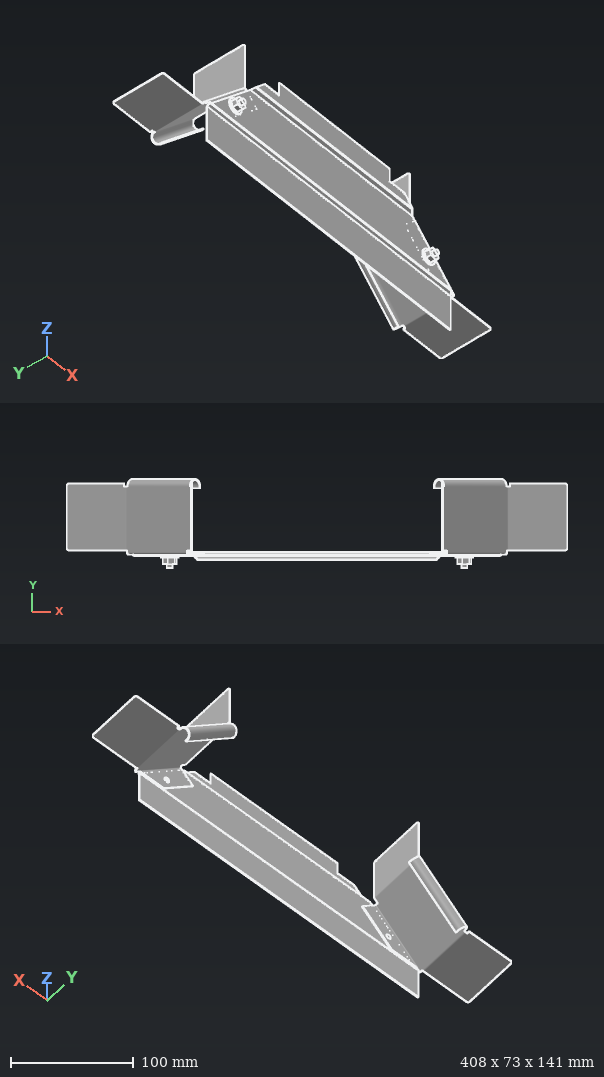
import cadquery as cq
import math


SHEET = 1.0
LENGTH = 408.0

PLATE_FRONT = -26.5
PLATE_BACK = PLATE_FRONT + SHEET
SKIRT_SETBACK = 2.65
TONGUE_ADVANCE = 3.45
PLATE_BOTTOM = -38.5
HEIGHT = 141.0
PLATE_TOP = 78.7
SKIRT_JOG = (-1.2, 2.5)
TONGUE_JOG = (50.5, 54.2)
PLATE_HALF_WIDTH = 151.0
PLATE_SLANT_START = 0.5
SHOULDER_TOP = 65.0
TONGUE_HALF_WIDTH = 68.5

WING_FRONT = -22.0
WING_BACK = 32.5
WING_CORNER = 2.0
WING_BEND_RADIUS = 1.2
RELIEF_RUNOUT = 1.5
TAB_TOP = PLATE_BOTTOM + HEIGHT
TAB_OUTER = -102.8

SLOPE_FOOT = -155.5
BRACKET_BACK = 36.5
CURL_RADIUS = 6.0
CURL_CENTRE = BRACKET_BACK - CURL_RADIUS
CURL_RETURN_EDGE = 28.5
CURL_SETBACK = 1.2
FOLD_RADIUS = 2.0
FOLD_FOOT_SETBACK = 1.0
FOLD_TOP_SETBACK = 5.0
LIP_DEPTH = 20.5
LIP_BOTTOM = 4.0

FASTENER_X = 120.0
FASTENER_Z = 18.8
STUD_RADIUS = 2.5
STUD_TIP = -36.5
NUT_FACE = -33.0
NUT_ACROSS_FLATS = 10.0
HEXAGON_SIDES = 6
NUT_TURN = 47.0
WASHER_RADIUS = 7.5
WASHER_THICKNESS = 1.2

SLOPE_ANGLE = math.radians(45)
DIAGONAL = math.sin(SLOPE_ANGLE)
SLOPE_TOP = SHEET + TAB_OUTER - SLOPE_FOOT
SLOPE_LENGTH = (TAB_OUTER - SLOPE_FOOT) / DIAGONAL
LIP_BACK = PLATE_BACK + SHEET


def cylinder_y(x, z, radius, y_start, y_end):
    """Round bar parallel to Y."""
    plane = cq.Plane(origin=(x, y_start, z), xDir=(1, 0, 0), normal=(0, 1, 0))
    return cq.Workplane(plane).circle(radius).extrude(y_end - y_start)


def stud_hole(x):
    """Cutter for the stud through the plate and the lip behind it."""
    return cylinder_y(x, FASTENER_Z, STUD_RADIUS, PLATE_FRONT, LIP_BACK)


def make_plate():
    """Double-jogged sheet, trimmed to its stepped trapezoidal outline."""
    front_edge = [
        (PLATE_FRONT + SKIRT_SETBACK, PLATE_BOTTOM),
        (PLATE_FRONT + SKIRT_SETBACK, SKIRT_JOG[0]),
        (PLATE_FRONT, SKIRT_JOG[1]),
        (PLATE_FRONT, TONGUE_JOG[0]),
        (PLATE_FRONT - TONGUE_ADVANCE, TONGUE_JOG[1]),
        (PLATE_FRONT - TONGUE_ADVANCE, PLATE_TOP),
    ]
    back_edge = [(y + SHEET, z) for y, z in reversed(front_edge)]
    sheet = (
        cq.Workplane("YZ").polyline(front_edge + back_edge).close()
        .extrude(PLATE_HALF_WIDTH, both=True)
    )
    shoulder_half_width = PLATE_HALF_WIDTH - (SHOULDER_TOP - PLATE_SLANT_START)
    right_side = [
        (PLATE_HALF_WIDTH, PLATE_BOTTOM),
        (PLATE_HALF_WIDTH, PLATE_SLANT_START),
        (shoulder_half_width, SHOULDER_TOP),
        (TONGUE_HALF_WIDTH, SHOULDER_TOP),
        (TONGUE_HALF_WIDTH, PLATE_TOP),
    ]
    left_side = [(-x, z) for x, z in reversed(right_side)]
    outline = cq.Workplane("XZ").polyline(right_side + left_side).close().extrude(LENGTH, both=True)
    plate = sheet.intersect(outline)
    for side in (-1, 1):
        plate = plate.cut(stud_hole(side * FASTENER_X))
    return plate


def make_wing():
    """Flange, slope and tab bent from one strip, with the rear corner of the slope relieved."""
    miter = SHEET * math.tan(SLOPE_ANGLE / 2)
    foot = (SLOPE_FOOT, SHEET)
    top = (TAB_OUTER, SLOPE_TOP)
    under_foot = (SLOPE_FOOT + miter, 0)
    under_top = (TAB_OUTER + SHEET, SLOPE_TOP - miter)
    wing = (
        cq.Workplane("XZ", origin=(0, WING_BACK, 0))
        .moveTo(-LENGTH / 2, SHEET)
        .lineTo(*foot)
        .lineTo(*top)
        .lineTo(TAB_OUTER, TAB_TOP)
        .lineTo(TAB_OUTER + SHEET, TAB_TOP)
        .lineTo(*under_top)
        .lineTo(*under_foot)
        .lineTo(-LENGTH / 2, 0)
        .close()
        .extrude(WING_BACK - WING_FRONT)
    )
    bends = [
        (foot, WING_BEND_RADIUS),
        (top, WING_BEND_RADIUS),
        (under_foot, WING_BEND_RADIUS + SHEET),
        (under_top, WING_BEND_RADIUS + SHEET),
    ]
    middle_y = (WING_BACK + WING_FRONT) / 2
    for (x, z), radius in bends:
        wing = wing.edges(cq.NearestToPointSelector((x, middle_y, z))).fillet(radius)
    wing = wing.edges("|Z and <X").fillet(WING_CORNER)
    wing = wing.edges("|X and >Z").fillet(WING_CORNER)
    relief_length = TAB_OUTER + SHEET - SLOPE_FOOT + RELIEF_RUNOUT
    relief = (
        cq.Workplane("XY")
        .box(relief_length, WING_BACK - CURL_CENTRE, SLOPE_TOP + RELIEF_RUNOUT, centered=False)
        .translate((SLOPE_FOOT - RELIEF_RUNOUT, CURL_CENTRE, 0))
    )
    return wing.cut(relief)


def slope_section(setback):
    """Plane square to the slope near its foot: local x is Y, local -y is depth below the slope."""
    origin = (SLOPE_FOOT + setback * DIAGONAL, 0, SHEET + setback * DIAGONAL)
    return cq.Workplane(cq.Plane(origin=origin, xDir=(0, 1, 0), normal=(DIAGONAL, 0, DIAGONAL)))


def make_curl():
    """Rear edge of the slope rolled under in a half circle, with a short straight return."""
    return (
        slope_section(CURL_SETBACK)
        .moveTo(CURL_RETURN_EDGE, 0)
        .lineTo(CURL_CENTRE, 0)
        .threePointArc((BRACKET_BACK, -CURL_RADIUS), (CURL_CENTRE, -2 * CURL_RADIUS))
        .lineTo(CURL_RETURN_EDGE, -2 * CURL_RADIUS)
        .lineTo(CURL_RETURN_EDGE, SHEET - 2 * CURL_RADIUS)
        .lineTo(CURL_CENTRE, SHEET - 2 * CURL_RADIUS)
        .threePointArc((BRACKET_BACK - SHEET, -CURL_RADIUS), (CURL_CENTRE, -SHEET))
        .lineTo(CURL_RETURN_EDGE, -SHEET)
        .close()
        .extrude(SLOPE_LENGTH - 2 * CURL_SETBACK)
    )


def make_fold():
    """Front edge of the slope, with the quarter-round bend that leads down to the lip."""
    flat_front = PLATE_BACK + FOLD_RADIUS
    return (
        slope_section(FOLD_FOOT_SETBACK)
        .moveTo(WING_FRONT, 0)
        .lineTo(flat_front, 0)
        .radiusArc((PLATE_BACK, -FOLD_RADIUS), -FOLD_RADIUS)
        .lineTo(LIP_BACK, -FOLD_RADIUS)
        .radiusArc((flat_front, -SHEET), FOLD_RADIUS - SHEET)
        .lineTo(WING_FRONT, -SHEET)
        .close()
        .extrude(SLOPE_LENGTH - FOLD_FOOT_SETBACK - FOLD_TOP_SETBACK)
    )


def make_lip():
    """Front lip hanging from the fold, cut level above the lower jog of the plate."""
    lip = (
        slope_section(FOLD_FOOT_SETBACK)
        .moveTo(PLATE_BACK, -FOLD_RADIUS)
        .lineTo(LIP_BACK, -FOLD_RADIUS)
        .lineTo(LIP_BACK, -LIP_DEPTH)
        .lineTo(PLATE_BACK, -LIP_DEPTH)
        .close()
        .extrude(SLOPE_LENGTH - FOLD_FOOT_SETBACK - FOLD_TOP_SETBACK)
    )
    below = cq.Workplane("XY").workplane(offset=LIP_BOTTOM).rect(LENGTH, LENGTH).extrude(-LENGTH)
    return lip.cut(below)


def make_left_bracket():
    """Bent sheet: wing strip with a curl along its rear edge and a fold and lip along its front."""
    bracket = make_wing().union(make_curl()).union(make_fold()).union(make_lip())
    return bracket.cut(stud_hole(-FASTENER_X))


def make_stud(x):
    """Plain stud flush with the back of the bracket lip."""
    return cylinder_y(x, FASTENER_Z, STUD_RADIUS, STUD_TIP, LIP_BACK)


def make_nut(x):
    """Hexagon nut with a round washer flange, seated on the plate."""
    washer = cylinder_y(x, FASTENER_Z, WASHER_RADIUS, PLATE_FRONT - WASHER_THICKNESS, PLATE_FRONT)
    corner_diameter = NUT_ACROSS_FLATS / math.cos(math.pi / HEXAGON_SIDES)
    hexagon = (
        cq.Workplane("XZ", origin=(x, PLATE_FRONT, FASTENER_Z))
        .transformed(rotate=(0, 0, NUT_TURN))
        .polygon(HEXAGON_SIDES, corner_diameter)
        .extrude(PLATE_FRONT - NUT_FACE)
    )
    bore = cylinder_y(x, FASTENER_Z, STUD_RADIUS, NUT_FACE, PLATE_FRONT)
    return washer.union(hexagon).cut(bore)


plate = make_plate()
left_bracket = make_left_bracket()
right_bracket = left_bracket.mirror("YZ")
fasteners = []
for side in (-1, 1):
    x = side * FASTENER_X
    fasteners.append(make_stud(x).val())
    fasteners.append(make_nut(x).val())

result = cq.Compound.makeCompound([plate.val(), left_bracket.val(), right_bracket.val(), *fasteners])